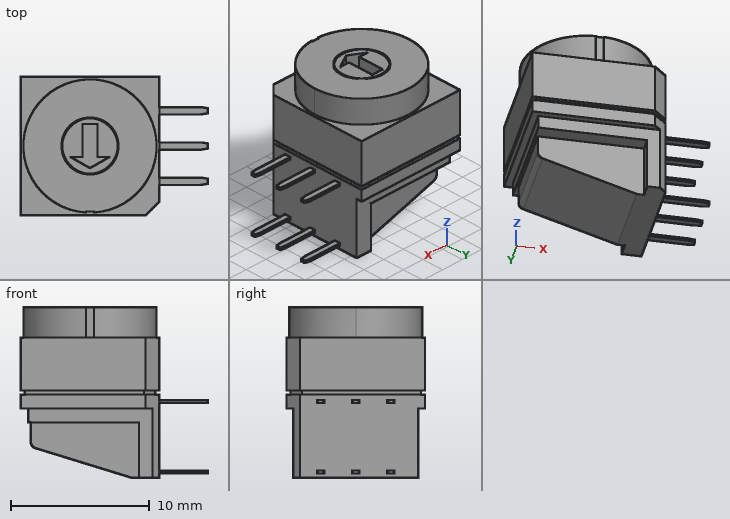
import cadquery as cq


foot_height = 4.0
ledge_height = 1.0
flange_height = 1.0
seam_height = 0.3
cover_height = 3.81
dial_height = 2.2

ledge_bottom = foot_height
flange_bottom = ledge_bottom + ledge_height
seam_bottom = flange_bottom + flange_height
cover_bottom = seam_bottom + seam_height
cover_top = cover_bottom + cover_height
dial_top = cover_top + dial_height

body_side = 10.0
half_side = body_side / 2
corner_chamfer = 1.0
seam_inset = 0.3

ledge_width = 9.0
ledge_inset = 0.54
wall_thickness = 1.46
wedge_width = 6.75
wedge_inset = 0.73
wedge_front_rise = 2.24
wedge_foot_length = 2.0
wedge_radius = 0.5

dial_diameter = 9.6
notch_width = 0.6
notch_depth = 0.1
ring_inner_diameter = 4.0
ring_outer_diameter = 4.1
ring_depth = 0.1

arrow_half_length = 1.59
arrow_shaft_width = 1.05
arrow_head_width = 2.8
arrow_head_base = -0.8
arrow_depth = 1.5

terminal_length = 3.5
terminal_width = 0.54
terminal_tip_width = 0.38
terminal_taper = 0.5
terminal_thickness = 0.2
terminal_pitch = 2.54
terminal_columns = (-terminal_pitch, 0, terminal_pitch)
lower_row_height = 0.42
terminal_rows = (lower_row_height, lower_row_height + 2 * terminal_pitch)


def housing_outline(bottom):
    """Square outline with the key chamfer cut across its +X -Y corner."""
    return cq.Workplane("XY").workplane(offset=bottom).polyline([
        (-half_side, -half_side),
        (half_side - corner_chamfer, -half_side),
        (half_side, -half_side + corner_chamfer),
        (half_side, half_side),
        (-half_side, half_side),
    ]).close()


def make_base():
    """Ledge and terminal wall as one L profile, trimmed by the key chamfer."""
    profile = cq.Workplane("XZ").polyline([
        (-half_side + ledge_inset, flange_bottom),
        (-half_side + ledge_inset, ledge_bottom),
        (half_side - wall_thickness, ledge_bottom),
        (half_side - wall_thickness, 0),
        (half_side, 0),
        (half_side, flange_bottom),
    ]).close()
    base = profile.extrude(ledge_width / 2, both=True)
    return base.intersect(housing_outline(0).extrude(flange_bottom))


def make_wedge():
    """Sloped block under the ledge, rounded where its front meets the slope."""
    wedge_front = -half_side + wedge_inset
    wall_face = half_side - wall_thickness
    wedge = cq.Workplane("XZ").polyline([
        (wedge_front, ledge_bottom),
        (wedge_front, wedge_front_rise),
        (half_side - wedge_foot_length, 0),
        (wall_face, 0),
        (wall_face, ledge_bottom),
    ]).close().extrude(wedge_width / 2, both=True)
    front_edge = cq.selectors.NearestToPointSelector((wedge_front, 0, wedge_front_rise))
    return wedge.edges(front_edge).fillet(wedge_radius)


def make_housing():
    """Flange and cover with a recessed seam between them."""
    flange = housing_outline(flange_bottom).extrude(flange_height)
    seam = housing_outline(seam_bottom).offset2D(-seam_inset).extrude(seam_height)
    cover = housing_outline(cover_bottom).extrude(cover_height)
    return flange.union(seam).union(cover)


def make_dial():
    """Dial with an index notch, a fine ring groove and the arrow slot."""
    dial = cq.Workplane("XY").workplane(offset=cover_top).circle(dial_diameter / 2).extrude(dial_height)
    notch = (
        cq.Workplane("XY")
        .workplane(offset=cover_top)
        .center(0, -dial_diameter / 2)
        .rect(notch_width, 2 * notch_depth)
        .extrude(dial_height)
    )
    top_plane = cq.Workplane("XY").workplane(offset=dial_top)
    ring = top_plane.circle(ring_outer_diameter / 2).circle(ring_inner_diameter / 2).extrude(-ring_depth)
    arrow = top_plane.polyline([
        (-arrow_shaft_width / 2, arrow_half_length),
        (-arrow_shaft_width / 2, arrow_head_base),
        (-arrow_head_width / 2, arrow_head_base),
        (0, -arrow_half_length),
        (arrow_head_width / 2, arrow_head_base),
        (arrow_shaft_width / 2, arrow_head_base),
        (arrow_shaft_width / 2, arrow_half_length),
    ]).close().extrude(-arrow_depth)
    return dial.cut(notch).cut(ring).cut(arrow)


def make_terminals():
    """Two rows of flat terminals with tapered tips."""
    tip = half_side + terminal_length
    shoulder = tip - terminal_taper
    places = [(0, y, z) for y in terminal_columns for z in terminal_rows]
    blade = cq.Workplane("XY").polyline([
        (half_side, -terminal_width / 2),
        (shoulder, -terminal_width / 2),
        (tip, -terminal_tip_width / 2),
        (tip, terminal_tip_width / 2),
        (shoulder, terminal_width / 2),
        (half_side, terminal_width / 2),
    ]).close().extrude(terminal_thickness / 2, both=True)
    terminals = cq.Workplane("XY")
    for place in places:
        terminals = terminals.union(blade.translate(place))
    return terminals


result = make_housing().union(make_base()).union(make_wedge()).union(make_dial()).union(make_terminals())